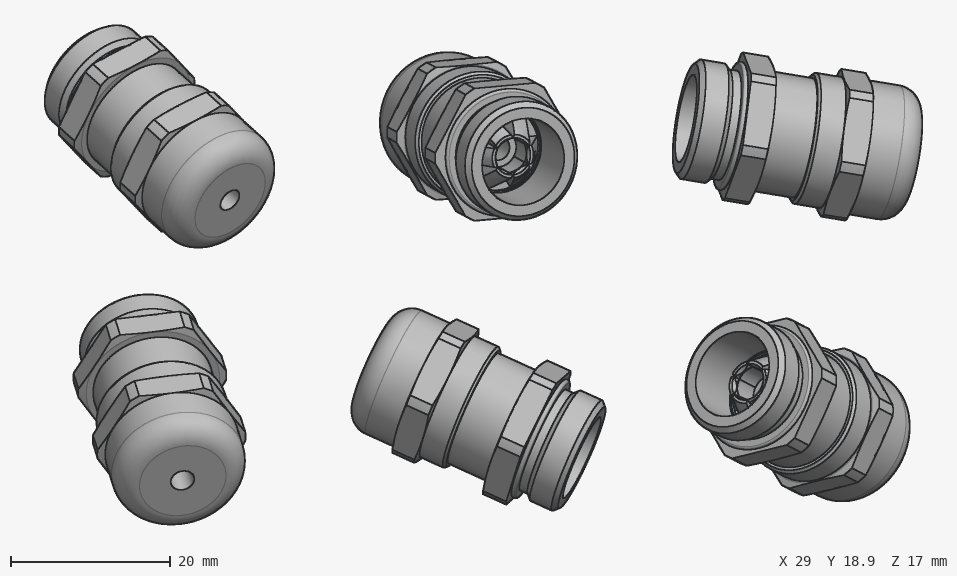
import cadquery as cq
import math

LENGTH = 29.0

THREAD_RADIUS = 15.2 / 2
UNDERCUT_RADIUS = 13.9 / 2
THREAD_CHAMFER = THREAD_RADIUS - UNDERCUT_RADIUS
THREAD_END = 4.3

RING_RADIUS = 16.3 / 2
RING_START = 5.4

HEX_SIDES = 6
HEX_FLATS = 17.0
HEX_CORNER_RADIUS = 18.88 / 2
BODY_HEX_WIDTH = 3.42
NUT_HEX_WIDTH = 3.48
HEX_CHAMFER = 0.2
BODY_HEX_START = 6.03
NUT_HEX_START = 18.53

COLLAR_RADIUS = 16.65 / 2
COLLAR_START = 15.0
COLLAR_CHAMFER = 0.35
CAP_RADIUS = HEX_FLATS / 2
CAP_FILLET = 3.0

BORE_RADIUS = 11.1 / 2
BORE_DEPTH = 7.55
INSERT_RADIUS = 10.67 / 2
INSERT_FLOOR = 8.12
CABLE_RADIUS = 3.0 / 2

FINGER_COUNT = 6
FINGER_TIP = 3.4
FINGER_TIP_RADIUS = 2.78
FINGER_WIDTH = 2.38
MOUTH_CORNER_RADIUS = FINGER_WIDTH
MOUTH_APOTHEM = MOUTH_CORNER_RADIUS * math.cos(math.pi / FINGER_COUNT)
MOUTH_DEPTH = 1.2
MOUTH_TAPER = 0.58


def cylinder(radius, start, end):
    """Round bar along X between two stations."""
    return cq.Workplane("YZ").workplane(offset=start).circle(radius).extrude(end - start)


def turn(shape, angle):
    """Rotate a shape about the X axis."""
    return shape.rotate((0, 0, 0), (1, 0, 0), angle)


def revolve(points):
    """Solid of revolution about X from (x, radius) points."""
    return cq.Workplane("XY").polyline(points).close().revolve(360, (0, 0, 0), (1, 0, 0))


def hex_prism(corner_radius, start, end):
    """Hexagonal bar along X with corners on the Y axis."""
    plane = cq.Workplane("YZ").workplane(offset=start)
    return plane.polygon(HEX_SIDES, 2 * corner_radius).extrude(end - start)


def hexagon(start, width, both_ends):
    """Hexagon with rounded corners and a conical chamfer on one or both ends."""
    end = start + width
    rounding = cylinder(HEX_CORNER_RADIUS, start, end)
    chamfer_run = HEX_CORNER_RADIUS - CAP_RADIUS
    rounding = rounding.faces("|X" if both_ends else ">X").chamfer(HEX_CHAMFER, chamfer_run)
    return hex_prism(CAP_RADIUS / math.cos(math.pi / HEX_SIDES), start, end).intersect(rounding)


def sealing_ring():
    """Ring whose rim is a full half round."""
    rim_radius = (BODY_HEX_START - RING_START) / 2
    centre_radius = RING_RADIUS - rim_radius
    return (
        cq.Workplane("XY")
        .moveTo(RING_START, 0)
        .lineTo(RING_START, centre_radius)
        .threePointArc((RING_START + rim_radius, RING_RADIUS), (BODY_HEX_START, centre_radius))
        .lineTo(BODY_HEX_START, 0)
        .close()
        .revolve(360, (0, 0, 0), (1, 0, 0))
    )


def finger_blank():
    """Cone from which the fingers are cut."""
    return revolve([
        (FINGER_TIP, 0),
        (FINGER_TIP, FINGER_TIP_RADIUS),
        (INSERT_FLOOR, INSERT_RADIUS),
        (INSERT_FLOOR, 0),
    ])


def finger_bars():
    """Three bars across the axis, giving six radial arms around a hexagonal middle."""
    bars = hex_prism(MOUTH_CORNER_RADIUS, FINGER_TIP, INSERT_FLOOR)
    bars = turn(bars, 180 / FINGER_COUNT)
    bar = (
        cq.Workplane("YZ")
        .workplane(offset=FINGER_TIP)
        .rect(2 * INSERT_RADIUS, FINGER_WIDTH)
        .extrude(INSERT_FLOOR - FINGER_TIP)
    )
    for i in range(FINGER_COUNT // 2):
        bars = bars.union(turn(bar, 360 * i / FINGER_COUNT))
    return bars


def finger_mouth():
    """Opening between the fingers: hexagonal neck tapered at both ends, then a round cavity."""
    mouth_end = FINGER_TIP + MOUTH_DEPTH
    neck = hex_prism(MOUTH_CORNER_RADIUS, FINGER_TIP, mouth_end)
    neck = turn(neck, 180 / FINGER_COUNT)
    tapers = revolve([
        (FINGER_TIP, 0),
        (FINGER_TIP, MOUTH_CORNER_RADIUS),
        (FINGER_TIP + MOUTH_TAPER, MOUTH_APOTHEM),
        (mouth_end - MOUTH_TAPER, MOUTH_APOTHEM),
        (mouth_end, MOUTH_CORNER_RADIUS),
        (INSERT_FLOOR, MOUTH_CORNER_RADIUS),
        (INSERT_FLOOR, 0),
    ])
    return neck.union(tapers)


def clamping_fingers():
    """Six radial fingers that meet at the corners of a hexagonal mouth."""
    return finger_blank().intersect(finger_bars()).cut(finger_mouth())


thread = cylinder(THREAD_RADIUS, 0, THREAD_END).faces("|X").chamfer(THREAD_CHAMFER)
undercut = cylinder(UNDERCUT_RADIUS, THREAD_END, RING_START)
body = cylinder(THREAD_RADIUS, BODY_HEX_START, COLLAR_START)
collar = cylinder(COLLAR_RADIUS, COLLAR_START, NUT_HEX_START).faces("<X").chamfer(COLLAR_CHAMFER)
cap = cylinder(CAP_RADIUS, NUT_HEX_START + NUT_HEX_WIDTH, LENGTH).faces(">X").edges().fillet(CAP_FILLET)

result = thread.union(undercut).union(sealing_ring()).union(body).union(collar).union(cap)
result = result.union(hexagon(BODY_HEX_START, BODY_HEX_WIDTH, False))
result = result.union(hexagon(NUT_HEX_START, NUT_HEX_WIDTH, True))

result = result.cut(cylinder(BORE_RADIUS, 0, BORE_DEPTH))
result = result.cut(cylinder(INSERT_RADIUS, BORE_DEPTH, INSERT_FLOOR))
result = result.cut(cylinder(CABLE_RADIUS, INSERT_FLOOR, LENGTH))
result = result.union(clamping_fingers())